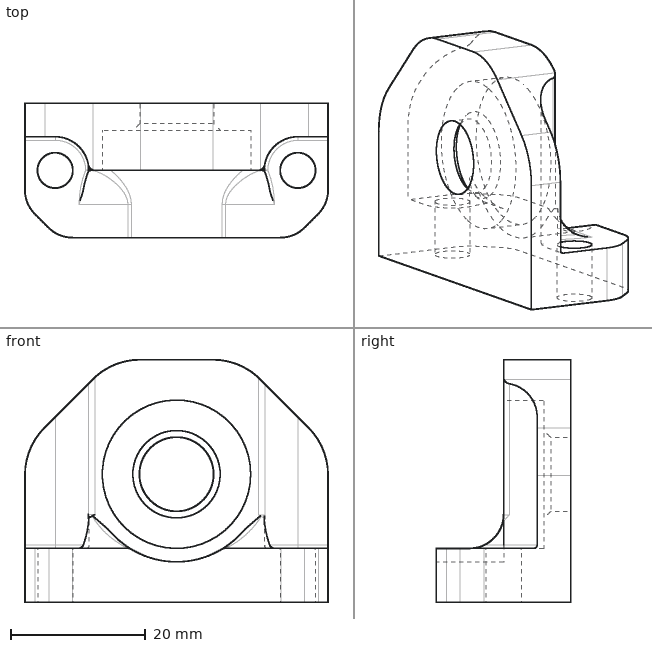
import cadquery as cq

width = 45.0
depth = 20.0
height = 36.0
base_height = 8.0
wall_thickness = depth / 2
ear_thickness = wall_thickness / 2

wall_chamfer = 13.0
wall_corner_radius = 10.0
base_chamfer = 5.0
base_corner_radius = 5.0

bore_height = 19.0
seat_diameter = 22.0
seat_depth = 6.0
shaft_diameter = 11.0
shaft_chamfer = 1.0
trough_radius = 13.0

screw_x = 18.0
screw_diameter = 5.2
relief_radius = wall_thickness - ear_thickness

root_radius = 5.0
edge_radius = 1.0
trough_edge_radius = 1.0
relief_floor_radius = 0.5
flare_offset = 1.0
relief_flare_radius = (root_radius**2 + flare_offset**2) / (2 * flare_offset)

half_width = width / 2
relief_inner_x = screw_x - relief_radius
root_front_y = -wall_thickness - root_radius
tolerance = 0.005
overshoot = 4.5


def y_cylinder(radius, y_back, y_front):
    """Cylinder on the bore axis, running from y_back forward to y_front."""
    return (
        cq.Workplane("XZ", origin=(0, y_back, bore_height))
        .circle(radius)
        .extrude(y_back - y_front)
    )


def make_wall():
    """Upright wall with softened 45 degree top corners."""
    wall = cq.Workplane("XY").box(width, wall_thickness, height, centered=(True, False, False))
    wall = wall.translate((0, -wall_thickness, 0))
    wall = wall.edges("|Y and >Z").chamfer(wall_chamfer)
    near_top = cq.selectors.BoxSelector(
        (-width, -depth, base_height), (width, depth, height + overshoot)
    )
    return wall.edges("|Y").edges(near_top).fillet(wall_corner_radius)


def make_base():
    """Foot with softened 45 degree front corners."""
    base = cq.Workplane("XY").box(width, depth, base_height, centered=(True, False, False))
    base = base.translate((0, -depth, 0))
    base = base.edges("|Z and <Y").chamfer(base_chamfer)
    near_front = cq.selectors.BoxSelector(
        (-width, -depth - overshoot, 0), (width, -wall_thickness, height)
    )
    return base.edges("|Z").edges(near_front).fillet(base_corner_radius)


def make_root():
    """Concave blend between the front of the wall and the top of the foot."""
    return (
        cq.Workplane("YZ", origin=(-half_width, 0, 0))
        .moveTo(-wall_thickness, base_height)
        .lineTo(-wall_thickness, base_height + root_radius)
        .radiusArc((root_front_y, base_height), root_radius)
        .close()
        .extrude(width)
    )


def make_relief(side):
    """Clearance above one screw hole, open to the outside and to the front."""
    return (
        cq.Workplane("XY", origin=(0, 0, base_height))
        .moveTo(side * (half_width + overshoot), -ear_thickness)
        .lineTo(side * screw_x, -ear_thickness)
        .radiusArc((side * relief_inner_x, -wall_thickness), -side * relief_radius)
        .radiusArc((side * (relief_inner_x + flare_offset), root_front_y), side * relief_flare_radius)
        .lineTo(side * (relief_inner_x + flare_offset), -depth - overshoot)
        .lineTo(side * (half_width + overshoot), -depth - overshoot)
        .close()
        .extrude(height)
    )


def pick(body, test):
    """Edges of body whose centre and edge satisfy the test."""
    return body.newObject([edge for edge in body.edges().vals() if test(edge, edge.Center())])


def is_relief_floor(edge, centre):
    """Concave edge where the inner walls of a relief meet the top of the foot."""
    box = edge.BoundingBox()
    on_floor = abs(box.zmin - base_height) < tolerance and box.zlen < tolerance
    on_relief_wall = root_front_y - tolerance <= box.ymin and box.ymax <= -ear_thickness + tolerance
    behind_root = box.ymin >= -wall_thickness - tolerance
    beside_root = abs(box.ymax + wall_thickness) < tolerance
    outside_wall = abs(centre.x) > relief_inner_x - tolerance
    return on_floor and on_relief_wall and outside_wall and (behind_root or beside_root)


def is_wall_corner(edge, centre):
    """Upright convex edge between a relief and the front of the wall."""
    at_relief = abs(abs(centre.x) - relief_inner_x) < tolerance
    at_front = abs(centre.y + wall_thickness) < tolerance
    return at_relief and at_front and edge.BoundingBox().zmax > height / 2


def is_trough_rim(edge, centre):
    """Convex edge between the trough and the foot or its root blend."""
    box = edge.BoundingBox()
    in_front = box.ymax <= -wall_thickness + tolerance and box.ylen > edge_radius
    inside_x = trough_edge_radius < abs(centre.x) < relief_inner_x - edge_radius
    return in_front and inside_x and box.zmin > base_height - tolerance


def blend_edges(body, test, radius):
    """Fillet the edges of body chosen by the test."""
    return pick(body, test).fillet(radius)


block = make_wall().union(make_base()).union(make_root())
trough = y_cylinder(trough_radius, -wall_thickness, -depth - overshoot)

bracket = block
for side in (-1, 1):
    bracket = bracket.cut(make_relief(side))
bracket = blend_edges(bracket, is_relief_floor, relief_floor_radius)
bracket = blend_edges(bracket, is_wall_corner, edge_radius)

rounded_trough_block = blend_edges(block.cut(trough), is_trough_rim, trough_edge_radius)
bracket = bracket.cut(trough).intersect(rounded_trough_block)

seat_floor_y = seat_depth - wall_thickness
chamfer_cone = cq.Solid.makeCone(
    shaft_diameter / 2 + shaft_chamfer,
    shaft_diameter / 2,
    shaft_chamfer,
    pnt=cq.Vector(0, seat_floor_y, bore_height),
    dir=cq.Vector(0, 1, 0),
)
bracket = bracket.cut(y_cylinder(seat_diameter / 2, seat_floor_y, -wall_thickness - overshoot))
bracket = bracket.cut(y_cylinder(shaft_diameter / 2, overshoot, -wall_thickness))
bracket = bracket.cut(cq.Workplane(obj=chamfer_cone))

screw_holes = (
    cq.Workplane("XY")
    .pushPoints([(-screw_x, -wall_thickness), (screw_x, -wall_thickness)])
    .circle(screw_diameter / 2)
    .extrude(base_height + overshoot)
)
result = cq.Workplane(obj=bracket.cut(screw_holes).solids().val())